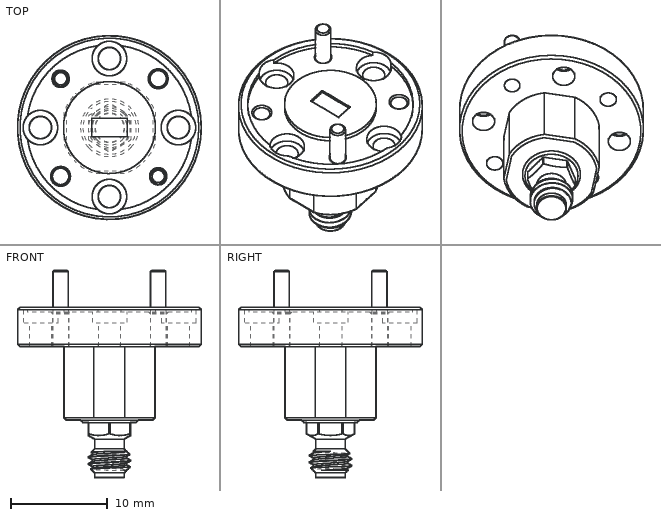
import cadquery as cq
import math


flange_diameter = 19.05
flange_thickness = 4.1
flange_chamfer = 0.27
disc_diameter = 9.525
recess_diameter = 17.13
recess_depth = 0.5
window_length = 3.7
window_width = 1.88
window_depth = 0.25

bolt_circle_radius = 14.29 / 2
screw_hole_diameter = 2.29
counterbore_diameter = 3.58
counterbore_depth = 1.1
alignment_hole_diameter = 1.7
alignment_countersink_diameter = 2.05
pin_diameter = 1.61
pin_countersink_diameter = 1.79
pin_height = 3.83
pin_chamfer = 0.17

body_diameter = 9.98
body_across_flats = 9.45
body_length = 7.6
body_chamfer = 0.25
collar_diameter = 6.0
collar_height = 0.25

hex_across_flats = 4.38
hex_corner_diameter = 4.98
hex_height = 1.72
hex_chamfer_angle = 30
neck_radius = 3.08 / 2
neck_length = 1.01
thread_length = 2.48
thread_pitch = 0.7
thread_root_radius = 1.8
thread_crest_radius = 2.2
thread_flank_angle = 30
thread_crest_width = 0.04
thread_middle_drop = 1.21
thread_turns_each_way = 2
ridge_sink = 0.1
thread_clearance = 0.1
overall_length = 21.52
tip_chamfer = 0.06

recess_z = -recess_depth
flange_bottom_z = -flange_thickness
body_bottom_z = flange_bottom_z - body_length
hex_top_z = body_bottom_z - collar_height
hex_bottom_z = hex_top_z - hex_height
thread_top_z = hex_bottom_z - neck_length
thread_bottom_z = thread_top_z - thread_length
tip_z = pin_height - overall_length


def cylinder(diameter, bottom_z, top_z):
    return cq.Workplane("XY", origin=(0, 0, bottom_z)).circle(diameter / 2).extrude(top_z - bottom_z)


def revolved(points):
    """Solid of revolution about Z from (radius, z) points."""
    return cq.Workplane("XZ").polyline(points).close().revolve(360, (0, 0), (0, 1))


def bolt_circle_points(angles):
    return [
        (bolt_circle_radius * math.cos(math.radians(a)), bolt_circle_radius * math.sin(math.radians(a)))
        for a in angles
    ]


screw_points = bolt_circle_points([0, 90, 180, 270])
alignment_points = bolt_circle_points([45, 225])
pin_points = bolt_circle_points([135, 315])


def make_flange():
    flange = cylinder(flange_diameter, flange_bottom_z, 0).edges().chamfer(flange_chamfer)
    ring_recess = cylinder(recess_diameter, recess_z, 0).cut(cylinder(disc_diameter, recess_z, 0))
    window = cq.Workplane("XY").rect(window_length, window_width).extrude(-window_depth)
    return flange.cut(ring_recess).cut(window)


def screw_hole(point):
    """Through hole with a counterbore measured from the recess floor."""
    hole = cylinder(screw_hole_diameter, flange_bottom_z, 0)
    counterbore = cylinder(counterbore_diameter, recess_z - counterbore_depth, 0)
    return hole.union(counterbore).translate((*point, 0))


def countersunk_hole(point, diameter, countersink_diameter):
    """Through hole with a 45 degree countersink at the recess floor."""
    radius = diameter / 2
    countersink_radius = countersink_diameter / 2
    hole = revolved([
        (0, flange_bottom_z),
        (radius, flange_bottom_z),
        (radius, recess_z - (countersink_radius - radius)),
        (countersink_radius, recess_z),
        (0, recess_z),
    ])
    return hole.translate((*point, 0))


def make_body():
    body = cylinder(body_diameter, body_bottom_z, flange_bottom_z)
    flats = cq.Workplane("XY", origin=(0, 0, body_bottom_z)).rect(body_across_flats, body_across_flats)
    body = body.intersect(flats.extrude(body_length))
    return body.faces("<Z").chamfer(body_chamfer)


def make_collar():
    top_radius = collar_diameter / 2
    return revolved([
        (0, hex_top_z),
        (top_radius - collar_height, hex_top_z),
        (top_radius, body_bottom_z),
        (0, body_bottom_z),
    ])


def make_hex():
    """Hexagon with flats facing X, rounded corners and a conical lower end."""
    corner_radius = hex_corner_diameter / 2
    cone_height = (corner_radius - neck_radius) * math.tan(math.radians(hex_chamfer_angle))
    envelope = revolved([
        (0, hex_bottom_z),
        (neck_radius, hex_bottom_z),
        (corner_radius, hex_bottom_z + cone_height),
        (corner_radius, hex_top_z),
        (0, hex_top_z),
    ])
    hexagon = (
        cq.Workplane("XY", origin=(0, 0, hex_bottom_z))
        .polygon(6, hex_across_flats, circumscribed=True)
        .extrude(hex_height)
    )
    return hexagon.intersect(envelope)


def make_coax_envelope():
    """Neck, thread and tip at full radius, with both thread ends tapering at 45 degrees to the neck."""
    radius = thread_crest_radius + thread_clearance
    taper = radius - neck_radius
    return revolved([
        (0, tip_z),
        (neck_radius - tip_chamfer, tip_z),
        (neck_radius, tip_z + tip_chamfer),
        (neck_radius, thread_bottom_z),
        (radius, thread_bottom_z + taper),
        (radius, thread_top_z - taper),
        (neck_radius, thread_top_z),
        (neck_radius, hex_bottom_z),
        (0, hex_bottom_z),
    ])


def make_coax_end():
    """Right-handed helical ridge on a core, trimmed to the neck, tapers and tip."""
    base_radius = thread_root_radius - ridge_sink
    half_crest = thread_crest_width / 2
    half_base = half_crest + (thread_crest_radius - base_radius) * math.tan(math.radians(thread_flank_angle))
    middle_z = thread_top_z - thread_middle_drop
    start_z = middle_z - thread_turns_each_way * thread_pitch
    helix_height = 2 * thread_turns_each_way * thread_pitch
    helix = cq.Wire.makeHelix(thread_pitch, helix_height, base_radius, center=cq.Vector(0, 0, start_z))
    ridge = (
        cq.Workplane("XZ")
        .polyline([
            (base_radius, start_z - half_base),
            (thread_crest_radius, start_z - half_crest),
            (thread_crest_radius, start_z + half_crest),
            (base_radius, start_z + half_base),
        ])
        .close()
        .sweep(cq.Workplane(obj=helix), isFrenet=True)
    )
    core = cylinder(2 * thread_root_radius, tip_z, hex_bottom_z)
    return core.union(ridge).intersect(make_coax_envelope())


def make_adapter():
    adapter = make_flange().union(make_body()).union(make_collar()).union(make_hex()).union(make_coax_end())
    for point in screw_points:
        adapter = adapter.cut(screw_hole(point))
    for point in alignment_points:
        adapter = adapter.cut(countersunk_hole(point, alignment_hole_diameter, alignment_countersink_diameter))
    for point in pin_points:
        adapter = adapter.cut(countersunk_hole(point, pin_diameter, pin_countersink_diameter))
    return adapter


def make_pin(point):
    """Dowel pin flush with the underside of the flange."""
    pin = cylinder(pin_diameter, flange_bottom_z, pin_height).faces(">Z").chamfer(pin_chamfer)
    return pin.translate((*point, 0))


adapter = make_adapter()
pins = [make_pin(point) for point in pin_points]

result = cq.Compound.makeCompound([adapter.val(), *[pin.val() for pin in pins]])